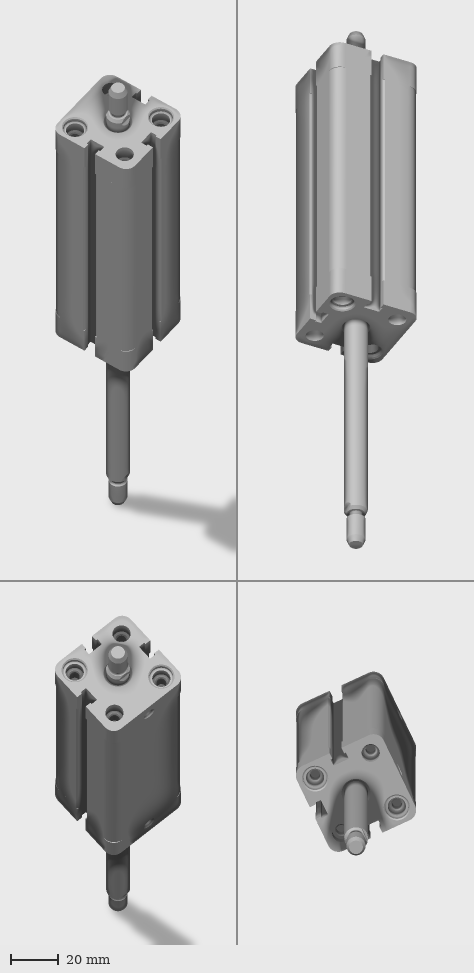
import cadquery as cq

TOTAL_LENGTH = 263.0
BODY_WIDTH = 40.2
BODY_BOTTOM = 112.0
BODY_TOP = 241.2
CAP_HEIGHT = 12.5
CAP_CORNER_RADIUS = 4.7
TUBE_CORNER_RADIUS = 5.5

SLOT_MOUTH_WIDTH = 5.5
SLOT_CHANNEL_WIDTH = 7.0
SLOT_DEPTH = 5.5
SLOT_LIP = 2.5
TUBE_MOUTH_CHAMFER = 0.8
SLOT_ANGLES = (0, 90, -90)

CORNER_OFFSET = 13.0
CORNER_HOLE_DIAMETER = 7.5
CORNER_HOLE_DEPTH = 6.3
PILOT_DIAMETER = 4.2
PILOT_MOUTH_DIAMETER = 5.3
COUNTERBORE_DIAMETER = 10.0
COUNTERBORE_MOUTH_DIAMETER = 11.0
COUNTERBORE_DEPTH = 2.0

PORT_DIAMETER = 4.2
PORT_MOUTH_DIAMETER = 5.8
PORT_DEPTH = 6.5
PORT_FROM_END = 7.5

BORE_MOUTH_DIAMETER = 12.0

ROD_DIAMETER = 10.0
THREAD_TO_ROD = 0.8
THREAD_DIAMETER = THREAD_TO_ROD * ROD_DIAMETER
NECK_DIAMETER = 5.8
TIP_DIAMETER = 5.8
TIP_LENGTH = 2.5
THREAD_LENGTH = 13.2
THREAD_RUNOUT = 0.5
ROD_SHOULDER = 15.8
ROD_END_CHAMFER = 1.0
ROD_END_CHAMFER_LENGTH = 1.3
FLAT_WIDTH = 8.2
FLAT_LENGTH = 2.5
FLAT_RUNOUT = 1.3

TUBE_BOTTOM = BODY_BOTTOM + CAP_HEIGHT
TUBE_LENGTH = BODY_TOP - BODY_BOTTOM - 2 * CAP_HEIGHT


def slot_cutter(height, mouth_chamfer):
    """T-slots in the +X, +Y and -Y sides, from Z = 0 up to the given height."""
    face = BODY_WIDTH / 2
    floor = face - SLOT_DEPTH
    lip = face - SLOT_LIP
    mouth = SLOT_MOUTH_WIDTH / 2
    channel = SLOT_CHANNEL_WIDTH / 2
    half_outline = [
        (floor, channel),
        (lip, channel),
        (lip, mouth),
        (face - mouth_chamfer, mouth),
    ]
    if mouth_chamfer > 0:
        half_outline.append((face, mouth + mouth_chamfer))
    other_half = [(x, -y) for x, y in reversed(half_outline)]
    slot = cq.Workplane("XY").polyline(half_outline + other_half).close().extrude(height)
    cutter = cq.Workplane("XY")
    for angle in SLOT_ANGLES:
        cutter = cutter.union(slot.rotate((0, 0, 0), (0, 0, 1), angle))
    return cutter


def slotted_block(height, corner_radius, mouth_chamfer=0):
    """Square prism with rounded upright edges and the three sensor slots."""
    block = (
        cq.Workplane("XY")
        .box(BODY_WIDTH, BODY_WIDTH, height, centered=(True, True, False))
        .edges("|Z")
        .fillet(corner_radius)
    )
    return block.cut(slot_cutter(height, mouth_chamfer))


def chamfered_hole(diameter, mouth_diameter, depth):
    """Cutter for a hole going down from the origin, its mouth chamfered at 45 degrees."""
    radius = diameter / 2
    mouth_radius = mouth_diameter / 2
    profile = [
        (0, 0),
        (mouth_radius, 0),
        (radius, radius - mouth_radius),
        (radius, -depth),
        (0, -depth),
    ]
    return cq.Workplane("XZ").polyline(profile).close().revolve(360, (0, 0, 0), (0, 1, 0))


def corner_hole(counterbored):
    """Cutter for a stepped corner hole through a cap, going down from the origin."""
    pilot = chamfered_hole(PILOT_DIAMETER, PILOT_MOUTH_DIAMETER, CAP_HEIGHT - CORNER_HOLE_DEPTH)
    hole = pilot.translate((0, 0, -CORNER_HOLE_DEPTH))
    hole = hole.union(cq.Workplane("XY").circle(CORNER_HOLE_DIAMETER / 2).extrude(-CORNER_HOLE_DEPTH))
    if counterbored:
        hole = hole.union(
            chamfered_hole(COUNTERBORE_DIAMETER, COUNTERBORE_MOUTH_DIAMETER, COUNTERBORE_DEPTH)
        )
    return hole


def make_cap():
    """Upper end cap standing on Z = 0 with its outer face up."""
    cap = slotted_block(CAP_HEIGHT, CAP_CORNER_RADIUS)
    for x in (-CORNER_OFFSET, CORNER_OFFSET):
        for y in (-CORNER_OFFSET, CORNER_OFFSET):
            cap = cap.cut(corner_hole(counterbored=x == y).translate((x, y, CAP_HEIGHT)))

    rod_bore = chamfered_hole(ROD_DIAMETER, BORE_MOUTH_DIAMETER, CAP_HEIGHT)
    cap = cap.cut(rod_bore.translate((0, 0, CAP_HEIGHT)))

    port = chamfered_hole(PORT_DIAMETER, PORT_MOUTH_DIAMETER, PORT_DEPTH)
    port = port.rotate((0, 0, 0), (0, 1, 0), -90)
    return cap.cut(port.translate((-BODY_WIDTH / 2, 0, CAP_HEIGHT - PORT_FROM_END)))


def make_tube():
    """Slotted barrel between the two caps."""
    tube = slotted_block(TUBE_LENGTH, TUBE_CORNER_RADIUS, TUBE_MOUTH_CHAMFER)
    bore = cq.Workplane("XY").circle(ROD_DIAMETER / 2).extrude(TUBE_LENGTH)
    return tube.cut(bore).translate((0, 0, TUBE_BOTTOM))


def half_rod():
    """Upper half of the rod, from the middle at Z = 0 to the threaded tip."""
    tip = TOTAL_LENGTH / 2
    profile = [
        (0, 0),
        (ROD_DIAMETER / 2, 0),
        (ROD_DIAMETER / 2, tip - ROD_SHOULDER - ROD_END_CHAMFER_LENGTH),
        (ROD_DIAMETER / 2 - ROD_END_CHAMFER, tip - ROD_SHOULDER),
        (NECK_DIAMETER / 2, tip - ROD_SHOULDER),
        (NECK_DIAMETER / 2, tip - THREAD_LENGTH - THREAD_RUNOUT),
        (THREAD_DIAMETER / 2, tip - THREAD_LENGTH),
        (THREAD_DIAMETER / 2, tip - TIP_LENGTH),
        (TIP_DIAMETER / 2, tip),
        (0, tip),
    ]
    half = cq.Workplane("XZ").polyline(profile).close().revolve(360, (0, 0, 0), (0, 1, 0))

    flat_top = tip - ROD_SHOULDER
    flat_bottom = flat_top - FLAT_LENGTH
    flat_profile = [
        (FLAT_WIDTH / 2, flat_top),
        (FLAT_WIDTH / 2, flat_bottom),
        (ROD_DIAMETER / 2, flat_bottom - FLAT_RUNOUT),
        (ROD_DIAMETER, flat_bottom - FLAT_RUNOUT),
        (ROD_DIAMETER, flat_top),
    ]
    flat = cq.Workplane("XZ").polyline(flat_profile).close().extrude(ROD_DIAMETER / 2, both=True)
    return half.cut(flat).cut(flat.mirror("YZ"))


def make_rod():
    """One rod, threaded at both ends, running through caps and tube."""
    upper = half_rod()
    return upper.union(upper.mirror("XY")).translate((0, 0, TOTAL_LENGTH / 2))


upper_cap = make_cap().translate((0, 0, BODY_TOP - CAP_HEIGHT))
lower_cap = make_cap().mirror("XY").translate((0, 0, TUBE_BOTTOM))
tube = make_tube()
rod = make_rod()

result = cq.Compound.makeCompound([upper_cap.val(), lower_cap.val(), tube.val(), rod.val()])